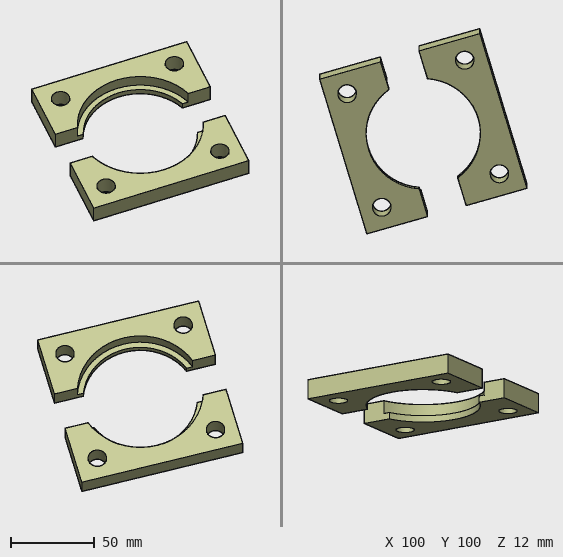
import cadquery as cq

plate_side = 100.0
thickness = 12.0
gap = 24.0
seat_radius = 37.7
lip_radius = 34.2
lip_height = 4.0
hole_diameter = 11.0
hole_offset = 36.7

half_width = (plate_side - gap) / 2
half_center = (gap + half_width) / 2


def clamp_half(side):
    """One half of the split clamp; side is -1 for the -X half, +1 for the +X half."""
    half = cq.Workplane("XY").center(side * half_center, 0).rect(half_width, plate_side).extrude(thickness)

    lip_bore = cq.Workplane("XY").circle(lip_radius).extrude(thickness)
    seat_bore = cq.Workplane("XY", origin=(0, 0, lip_height)).circle(seat_radius).extrude(thickness)
    half = half.cut(lip_bore).cut(seat_bore)

    hole_centers = [(side * hole_offset, end * hole_offset) for end in (-1, 1)]
    bolt_holes = cq.Workplane("XY").pushPoints(hole_centers).circle(hole_diameter / 2).extrude(thickness)
    return half.cut(bolt_holes)


clamp_halves = [clamp_half(side).val() for side in (-1, 1)]

result = cq.Compound.makeCompound(clamp_halves)